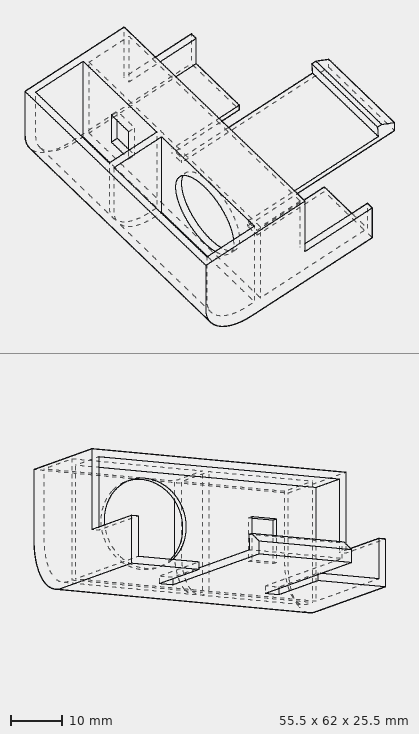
import cadquery as cq

width = 55.5
length = 62.0
height = 25.5
wall = 1.5

block_depth = 25.0
tray_end = 41.9
tray_height = 9.5
outer_radius = 11.55

pocket_back = 13.45
divider_left = 24.05
pocket_radius = outer_radius - wall
cavity_front = pocket_back + wall

tongue_width = 20.2
tongue_left = (width - tongue_width) / 2
tongue_right = tongue_left + tongue_width
slit_width = 2.9
hook_tip_height = 2.55
hook_peak_height = 4.6
hook_peak_setback = 3.2
hook_crest_setback = 4.3
hook_root_setback = 4.1

round_hole_x = 38.75
round_hole_z = 13.75
round_hole_radius = 8.9
window_width = 5.35
window_top = 17.05
window_bottom = height - window_top

def box(x0, x1, y0, y1, z0, z1):
    """Box between two limits on each axis."""
    return cq.Workplane("XY").box(x1 - x0, y1 - y0, z1 - z0, centered=False).translate((x0, y0, z0))

def extrude_along_x(profile, x0, x1):
    """Extrude a closed YZ profile between two X positions."""
    return profile.close().extrude(x1 - x0).translate((x0, 0, 0))

def outer_body():
    """Stepped body with a rounded lower front edge."""
    profile = (
        cq.Workplane("YZ")
        .moveTo(outer_radius, 0)
        .lineTo(tray_end, 0)
        .lineTo(tray_end, tray_height)
        .lineTo(block_depth, tray_height)
        .lineTo(block_depth, height)
        .lineTo(0, height)
        .lineTo(0, outer_radius)
        .radiusArc((outer_radius, 0), -outer_radius)
    )
    return extrude_along_x(profile, 0, width)

def pocket(x0, x1):
    """Open-topped pocket whose floor curves up into the front wall."""
    profile = (
        cq.Workplane("YZ")
        .moveTo(outer_radius, wall)
        .lineTo(pocket_back, wall)
        .lineTo(pocket_back, height)
        .lineTo(wall, height)
        .lineTo(wall, outer_radius)
        .radiusArc((outer_radius, wall), -pocket_radius)
    )
    return extrude_along_x(profile, x0, x1)

def tongue():
    """Flat tongue ending in a ramped, slightly undercut hook."""
    profile = (
        cq.Workplane("YZ")
        .moveTo(block_depth, 0)
        .lineTo(length, 0)
        .lineTo(length, hook_tip_height)
        .lineTo(length - hook_peak_setback, hook_peak_height)
        .lineTo(length - hook_crest_setback, hook_peak_height)
        .lineTo(length - hook_root_setback, wall)
        .lineTo(block_depth, wall)
    )
    return extrude_along_x(profile, tongue_left, tongue_right)

result = outer_body()
result = result.cut(pocket(wall, divider_left))
result = result.cut(pocket(divider_left + wall, width - wall))

result = result.cut(box(wall, width - wall, cavity_front, tray_end, wall, height - wall))

for slit_left in (tongue_left - slit_width, tongue_right):
    result = result.cut(box(slit_left, slit_left + slit_width, block_depth, tray_end, 0, wall))
result = result.union(tongue())

round_hole = (
    cq.Workplane("XZ", origin=(round_hole_x, pocket_back, round_hole_z))
    .circle(round_hole_radius)
    .extrude(-wall)
)
result = result.cut(round_hole)

window_left = (wall + divider_left - window_width) / 2
window_right = window_left + window_width
result = result.cut(box(window_left, window_right, pocket_back, cavity_front, window_bottom, window_top))